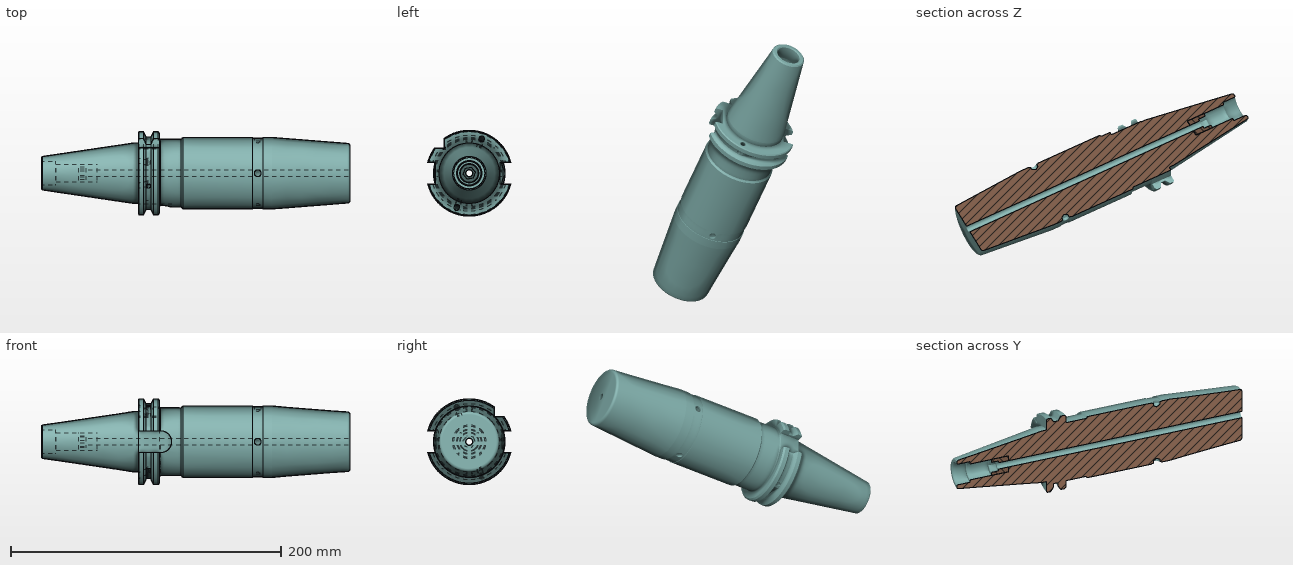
import cadquery as cq
import math


total_length = 228.5

taper_length = 68.3
taper_ratio = 7 / 24
gauge_radius = 22.4
taper_end_radius = gauge_radius - taper_length * taper_ratio / 2
taper_end_chamfer = 1.0

flange_start = 71.7
flange_end = 87.5
flange_radius = 31.7
flange_front_chamfer = 0.7
flange_rear_chamfer = 1.1
groove_center = 79.3
groove_floor_radius = 28.0
groove_floor_width = 3.5
groove_wall_angle = 30.0
groove_depth = flange_radius - groove_floor_radius
groove_top_width = groove_floor_width + 2 * groove_depth * math.tan(math.radians(groove_wall_angle))

neck_radius = 25.1
neck_end = 103.5
neck_fillet = 0.7
body_radius = 26.5
body_start = 104.5
band_start = 156.2
band_end = 163.8
band_radius = 26.0
nose_start = 170.6
nose_radius = 22.0
nose_fillet = 2.0

slot_width = 16.0
front_slot_floor = 22.8
slot_end_center = 88.5
notch_y = 18.5
notch_z = 18.5
notch_corner_relief = 0.7
flat_distance = 24.5
flat_angle = 16.0

channel_angle = 20.0
channel_pitch_radius = 27.0
channel_radius = 1.95
channel_tilt = 30.0
plug_hole_radius = 1.5
plug_hole_floor = 20.5
plug_height = 6.6
plug_recess_depth = 1.4

plug_turns = [channel_angle + half_turn for half_turn in (0, 180)]

band_hole_radius = 2.5
band_hole_depth = 2.3
drill_point_angle = 118.0
band_hole_count = 4

pilot_radius = 8.7
pilot_chamfer = 0.7
pilot_depth = 10.5
thread_radius = 6.6
thread_chamfer = 0.5
thread_depth = 41.0
coolant_radius = 2.5

screw_length = 13.7
hex_across_flats = 8.0
hex_depth = 5.7
hex_turn = 10.0


def cylinder(start, direction, radius, length):
    return cq.Workplane(cq.Solid.makeCylinder(radius, length, cq.Vector(*start), cq.Vector(*direction)))


def turned_holder():
    """Outer shape of the holder, turned about X."""
    profile = (
        cq.Workplane("XY")
        .moveTo(0, 0)
        .lineTo(0, taper_end_radius - taper_end_chamfer)
        .lineTo(taper_end_chamfer, taper_end_radius)
        .lineTo(taper_length, gauge_radius)
        .lineTo(flange_start, gauge_radius)
        .lineTo(flange_start, flange_radius - flange_front_chamfer)
        .lineTo(flange_start + flange_front_chamfer, flange_radius)
        .lineTo(groove_center - groove_top_width / 2, flange_radius)
        .lineTo(groove_center - groove_floor_width / 2, groove_floor_radius)
        .lineTo(groove_center + groove_floor_width / 2, groove_floor_radius)
        .lineTo(groove_center + groove_top_width / 2, flange_radius)
        .lineTo(flange_end - flange_rear_chamfer, flange_radius)
        .lineTo(flange_end, flange_radius - flange_rear_chamfer)
        .lineTo(flange_end, neck_radius + neck_fillet)
        .radiusArc((flange_end + neck_fillet, neck_radius), -neck_fillet)
        .lineTo(neck_end, neck_radius)
        .lineTo(body_start, body_radius)
        .lineTo(band_start, body_radius)
        .lineTo(band_start, band_radius)
        .lineTo(band_end, band_radius)
        .lineTo(band_end, body_radius)
        .lineTo(nose_start, body_radius)
        .lineTo(total_length, nose_radius)
        .lineTo(total_length, 0)
        .close()
    )
    turned = profile.revolve(360, (0, 0, 0), (1, 0, 0))
    return turned.faces(">X").edges().fillet(nose_fillet)


def countersink(start, hole_radius, chamfer):
    """Cone that chamfers the mouth of a hole along the axis."""
    wide_radius = hole_radius + chamfer
    return cq.Workplane(
        cq.Solid.makeCone(wide_radius, hole_radius, chamfer, cq.Vector(start, 0, 0), cq.Vector(1, 0, 0))
    )


def bore():
    """Pilot, thread and coolant holes along the axis."""
    pilot = cylinder((0, 0, 0), (1, 0, 0), pilot_radius, pilot_depth)
    pilot_mouth = countersink(0, pilot_radius, pilot_chamfer)
    thread_mouth = countersink(pilot_depth, thread_radius, thread_chamfer)
    thread = cylinder((0, 0, 0), (1, 0, 0), thread_radius, thread_depth)
    coolant = cylinder((0, 0, 0), (1, 0, 0), coolant_radius, total_length)
    return pilot.union(pilot_mouth).union(thread).union(thread_mouth).union(coolant)


def front_slot():
    """Drive slot on the -Y side, with a round end in the neck."""
    depth = flange_radius - front_slot_floor
    straight = cq.Workplane("XY").box(
        slot_end_center - flange_start, depth, slot_width, centered=(False, False, True)
    ).translate((flange_start, -flange_radius, 0))
    round_end = cylinder((slot_end_center, -flange_radius, 0), (0, 1, 0), slot_width / 2, depth)
    return straight.union(round_end)


def rear_slot():
    """Drive slot on the +Y side, down to the level of the neck."""
    return cq.Workplane("XY").box(
        flange_end - flange_start, flange_radius, slot_width, centered=(False, False, True)
    ).translate((flange_start, neck_radius, 0))


def indexing_notch():
    """Corner notch through the flange on the +Y, +Z side."""
    corner = cq.Workplane("XY").box(
        flange_end - flange_start, flange_radius, flange_radius, centered=False
    ).translate((flange_start, notch_y, notch_z))
    relief = cylinder((flange_start, notch_y, notch_z), (1, 0, 0), notch_corner_relief, flange_end - flange_start)
    return corner.union(relief)


def groove_flat():
    """Flat across the floor of the gripper groove."""
    return (
        cq.Workplane("XY")
        .box(groove_floor_width, 2 * flange_radius, flange_radius, centered=(True, True, False))
        .translate((groove_center, 0, -flat_distance - flange_radius))
        .rotate((0, 0, 0), (1, 0, 0), -flat_angle)
    )


def channel(turn):
    """Coolant channel from the flange face, tilted toward the axis."""
    tilt = math.radians(channel_tilt)
    direction = (math.cos(tilt), 0, -math.sin(tilt))
    lead = channel_radius / math.cos(tilt)
    start = (flange_start - lead * direction[0], 0, channel_pitch_radius - lead * direction[2])
    length = (groove_center - flange_start) / math.cos(tilt)
    drill = cylinder(start, direction, channel_radius, lead + length)
    return drill.rotate((0, 0, 0), (1, 0, 0), turn)


def plug_hole(turn):
    """Radial hole in the floor of the gripper groove."""
    depth = flange_radius - plug_hole_floor
    hole = cylinder((groove_center, 0, plug_hole_floor), (0, 0, 1), plug_hole_radius, depth)
    return hole.rotate((0, 0, 0), (1, 0, 0), turn)


def band_hole(turn):
    """Radial blind hole with a drill point, in the middle of the band."""
    center = (band_start + band_end) / 2
    floor = band_radius - band_hole_depth
    point_height = band_hole_radius / math.tan(math.radians(drill_point_angle / 2))
    straight = cylinder((center, 0, floor), (0, 0, 1), band_hole_radius, body_radius - floor)
    point = cq.Workplane(
        cq.Solid.makeCone(band_hole_radius, 0, point_height, cq.Vector(center, 0, floor), cq.Vector(0, 0, -1))
    )
    return straight.union(point).rotate((0, 0, 0), (1, 0, 0), turn)


def make_holder():
    holder = turned_holder().cut(bore())
    for cutter in (front_slot(), rear_slot(), indexing_notch(), groove_flat()):
        holder = holder.cut(cutter)
    for turn in plug_turns:
        holder = holder.cut(channel(turn)).cut(plug_hole(turn))
    for index in range(band_hole_count):
        holder = holder.cut(band_hole(index * 360 / band_hole_count))
    return holder


def make_stop_screw():
    """Screw at the end of the threaded bore, with a hexagon socket and a coolant hole."""
    start = thread_depth - screw_length
    screw = cylinder((start, 0, 0), (1, 0, 0), thread_radius, screw_length)
    socket = (
        cq.Workplane("YZ")
        .polygon(6, hex_across_flats / math.cos(math.pi / 6))
        .extrude(hex_depth)
        .rotate((0, 0, 0), (1, 0, 0), -hex_turn)
        .translate((start, 0, 0))
    )
    coolant = cylinder((start, 0, 0), (1, 0, 0), coolant_radius, screw_length)
    return screw.cut(socket).cut(coolant)


def make_plug(turn):
    """Plug at the bottom of a plug hole, with a conical recess in its outer end."""
    plug = cylinder((groove_center, 0, plug_hole_floor), (0, 0, 1), plug_hole_radius, plug_height)
    outer_end = cq.Vector(groove_center, 0, plug_hole_floor + plug_height)
    recess = cq.Workplane(
        cq.Solid.makeCone(plug_hole_radius, 0, plug_recess_depth, outer_end, cq.Vector(0, 0, -1))
    )
    plug = plug.cut(recess)
    return plug.rotate((0, 0, 0), (1, 0, 0), turn)


holder = make_holder()
stop_screw = make_stop_screw()
plugs = [make_plug(turn) for turn in plug_turns]

result = cq.Compound.makeCompound([holder.val(), stop_screw.val(), *[plug.val() for plug in plugs]])